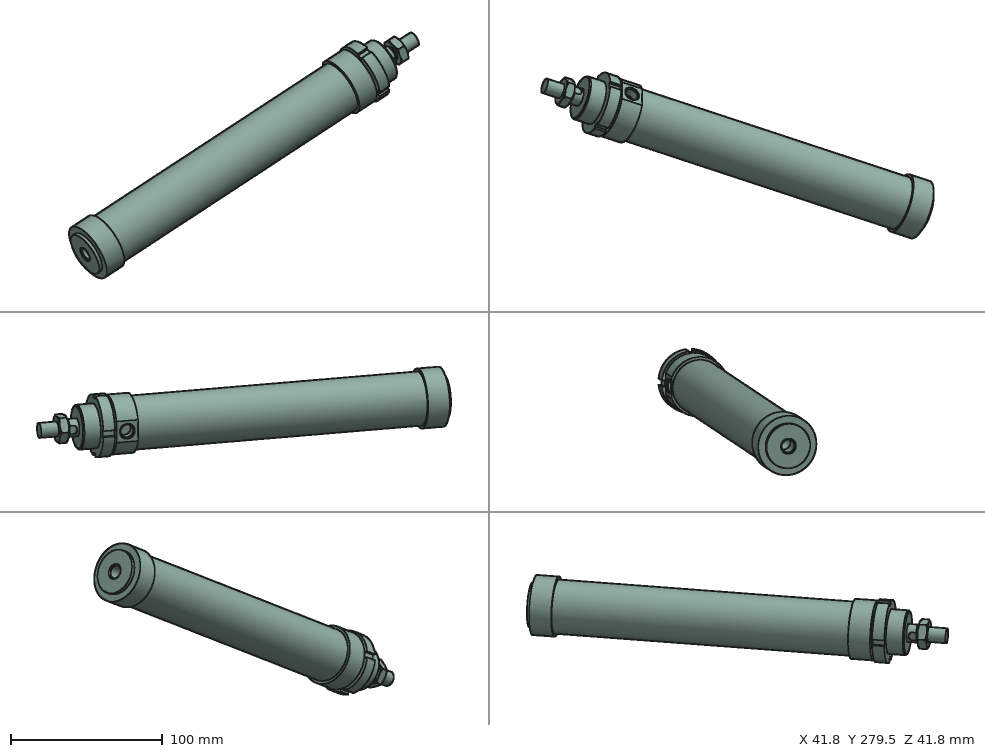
import cadquery as cq
import math

total_length = 279.5

rear_boss_length = 2.5
rear_cap_end = 17.3
head_start = 217.0
head_length = 14.8
neck_end = 253.5
barrel_diameter = 36.0
cap_diameter = 40.0
neck_diameter = 30.0
neck_chamfer = 0.8

hole_diameter = 8.7
hole_chamfer = 0.8

rear_hole_depth = 11.2
drill_tip_angle = 120.0

port_flat_width = 14.5
port_depth = 7.0

rod_diameter = 12.0
thread_diameter = 10.0
shoulder_y = 260.0
rod_flat_spacing = 10.5
rod_flat_end_y = 255.0
rod_flat_end_radius = 3.0

hex_nut_start = 261.3
hex_nut_length = 6.1
hex_across_flats = 17.3
hex_bevel_angle = 30.0

ring_nut_start = 233.5
ring_nut_length = 8.0
ring_nut_diameter = 42.0
ring_slot_count = 4
ring_slot_width = 4.2
ring_slot_depth = 2.0

head_end = head_start + head_length


def cylinder_y(diameter, start, end):
    """Solid cylinder along the axis between two stations."""
    disc = cq.Workplane("XZ", origin=(0, start, 0)).circle(diameter / 2)
    return disc.extrude(start - end)


def revolve_y(points):
    """Solid of revolution from (radius, Y) points."""
    return cq.Workplane("XY").polyline(points).close().revolve(360, (0, 0, 0), (0, 1, 0))


def rear_hole():
    """Blind hole with a chamfered mouth and a conical bottom."""
    radius = hole_diameter / 2
    tip_depth = radius / math.tan(math.radians(drill_tip_angle / 2))
    return revolve_y([
        (0, 0),
        (radius + hole_chamfer, 0),
        (radius, hole_chamfer),
        (radius, rear_hole_depth),
        (0, rear_hole_depth + tip_depth),
    ])


def port_cut():
    """Flat along the whole head on the -X side, with the port bored into it."""
    flat_x = -math.sqrt((cap_diameter / 2) ** 2 - (port_flat_width / 2) ** 2)
    middle_y = head_start + head_length / 2
    flat = cq.Workplane("XY").box(
        cap_diameter, head_length, cap_diameter
    ).translate((flat_x - cap_diameter / 2, middle_y, 0))
    face = cq.Workplane("YZ", origin=(flat_x, middle_y, 0))
    port = face.circle(hole_diameter / 2).extrude(port_depth)
    mouth = cq.Workplane(cq.Solid.makeCone(
        hole_diameter / 2 + hole_chamfer,
        hole_diameter / 2,
        hole_chamfer,
        pnt=cq.Vector(flat_x, middle_y, 0),
        dir=cq.Vector(1, 0, 0),
    ))
    return flat.union(port).union(mouth)


def make_body():
    """Barrel, rear cap, front head and threaded neck in one piece."""
    rear_boss = cylinder_y(neck_diameter, 0, rear_boss_length)
    rear_cap = cylinder_y(cap_diameter, rear_boss_length, rear_cap_end)
    barrel = cylinder_y(barrel_diameter, rear_cap_end, head_start)
    head = cylinder_y(cap_diameter, head_start, head_end)
    neck = cylinder_y(neck_diameter, head_end, neck_end).faces(">Y").chamfer(neck_chamfer)
    body = rear_boss.union(rear_cap).union(barrel).union(head).union(neck)
    rod_hole = cylinder_y(rod_diameter, head_start, neck_end)
    return body.cut(rear_hole()).cut(port_cut()).cut(rod_hole)


def rod_flat_cut():
    """Wrench-flat cutter on the +X side, with a rounded end towards the neck."""
    arc_center_y = rod_flat_end_y + rod_flat_end_radius
    plane = cq.Workplane("YZ", origin=(rod_flat_spacing / 2, 0, 0))
    outline = (
        plane.moveTo(shoulder_y, rod_flat_end_radius)
        .lineTo(arc_center_y, rod_flat_end_radius)
        .threePointArc((rod_flat_end_y, 0), (arc_center_y, -rod_flat_end_radius))
        .lineTo(shoulder_y, -rod_flat_end_radius)
        .close()
    )
    return outline.extrude(rod_diameter)


def make_rod():
    """Piston rod with two wrench flats and a threaded end."""
    shank = cylinder_y(rod_diameter, head_start, shoulder_y)
    thread = cylinder_y(thread_diameter, shoulder_y, total_length)
    flat = rod_flat_cut()
    return shank.cut(flat).cut(flat.mirror("YZ")).union(thread)


def make_hex_nut():
    """Hex nut with two corners on the X axis, bevelled on both sides."""
    corner_radius = hex_across_flats / math.sqrt(3)
    end_radius = hex_across_flats / 2
    bevel = (corner_radius - end_radius) * math.tan(math.radians(hex_bevel_angle))
    hex_nut_end = hex_nut_start + hex_nut_length
    hexagon = cq.Workplane("XZ", origin=(0, hex_nut_start, 0)).polygon(6, 2 * corner_radius)
    envelope = revolve_y([
        (0, hex_nut_start),
        (end_radius, hex_nut_start),
        (corner_radius, hex_nut_start + bevel),
        (corner_radius, hex_nut_end - bevel),
        (end_radius, hex_nut_end),
        (0, hex_nut_end),
    ])
    bore = cylinder_y(thread_diameter, hex_nut_start, hex_nut_end)
    return hexagon.extrude(-hex_nut_length).intersect(envelope).cut(bore)


def make_ring_nut():
    """Round nut with equally spaced spanner slots across its rim."""
    ring_nut_end = ring_nut_start + ring_nut_length
    ring = cylinder_y(ring_nut_diameter, ring_nut_start, ring_nut_end)
    ring = ring.cut(cylinder_y(neck_diameter, ring_nut_start, ring_nut_end))
    slot = cq.Workplane("XY").box(2 * ring_slot_depth, ring_nut_length, ring_slot_width).translate(
        (ring_nut_diameter / 2, ring_nut_start + ring_nut_length / 2, 0)
    )
    for index in range(ring_slot_count):
        ring = ring.cut(slot.rotate((0, 0, 0), (0, 1, 0), index * 360 / ring_slot_count))
    return ring


body = make_body()
rod = make_rod()
hex_nut = make_hex_nut()
ring_nut = make_ring_nut()

result = cq.Compound.makeCompound([body.val(), rod.val(), hex_nut.val(), ring_nut.val()])